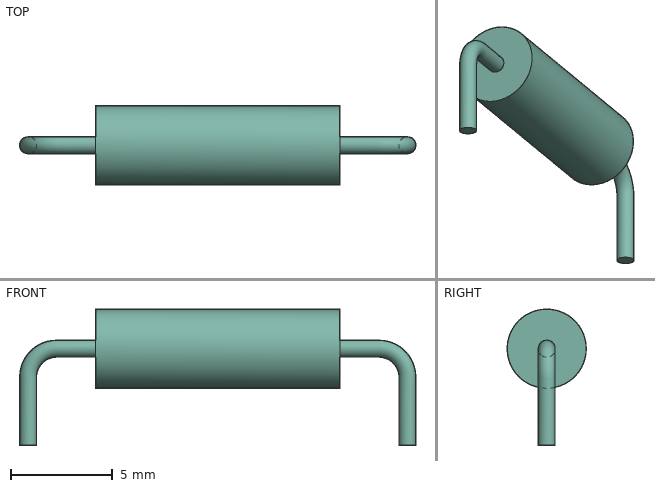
import cadquery as cq

overall_length = 19.47
body_length = 12.0
body_diameter = 3.9
wire_diameter = 0.84
bend_radius = 1.4
lead_drop = 4.75

body_end = body_length / 2
leg_x = (overall_length - wire_diameter) / 2
bend_start_x = leg_x - bend_radius


def make_body():
    """Plain cylinder along X, with its middle at the origin."""
    return cq.Workplane("YZ", origin=(-body_end, 0, 0)).circle(body_diameter / 2).extrude(body_length)


def make_lead(side):
    """Round wire from a body end face, bent down; side is +1 or -1 along X."""
    straight = (
        cq.Workplane("YZ", origin=(side * body_end, 0, 0))
        .circle(wire_diameter / 2)
        .extrude(side * (bend_start_x - body_end))
    )
    bend = (
        cq.Workplane("YZ", origin=(side * bend_start_x, 0, 0))
        .circle(wire_diameter / 2)
        .revolve(90, (0, -bend_radius, 0), (side, -bend_radius, 0))
    )
    leg = (
        cq.Workplane("XY", origin=(side * leg_x, 0, -lead_drop))
        .circle(wire_diameter / 2)
        .extrude(lead_drop - bend_radius)
    )
    return straight.union(bend).union(leg)


body = make_body()
leads = [make_lead(side) for side in (-1, 1)]

result = cq.Compound.makeCompound([body.val(), *[lead.val() for lead in leads]])